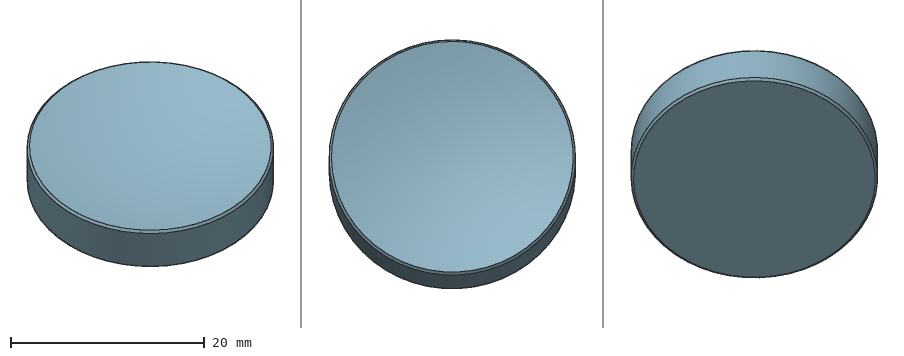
import cadquery as cq

diameter = 25.4
edge_thickness = 5.23
bevel = 0.25
hollow_depth = 1.75

rim_radius = diameter / 2 - bevel
sphere_radius = (rim_radius**2 + hollow_depth**2) / (2 * hollow_depth)
top_z = edge_thickness / 2
sphere_centre_z = top_z - hollow_depth + sphere_radius

disc = cq.Workplane("XY").cylinder(edge_thickness, diameter / 2).edges("%CIRCLE").chamfer(bevel)

hollow = cq.Workplane("XY").sphere(sphere_radius).translate((0, 0, sphere_centre_z))

result = disc.cut(hollow)